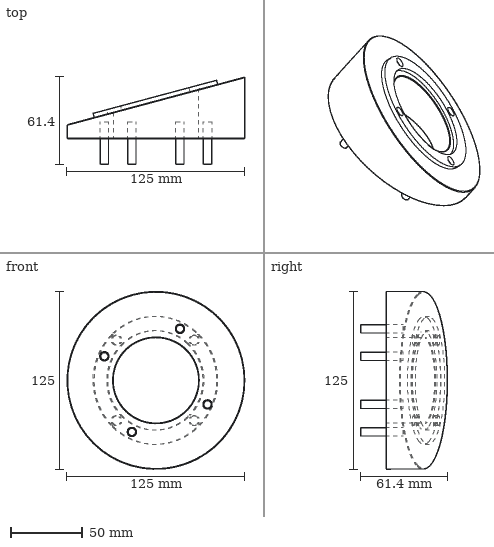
import cadquery as cq
import math

flange_dia = 125.0
bore_dia = 60.0
thin_side = 10.0
tilt_angle = 15.0
edge_chamfer = 0.5

ring_outer_dia = 90.0
ring_inner_dia = 70.0
ring_height = 3.0
ring_hole_dia = 6.9

pitch_radius = 40.0
hole_count = 4
pin_dia = 6.0
pin_stand_out = 18.0
pin_insert = 12.0
pin_chamfer = 0.5
hole_mouth_chamfer = 0.3
first_pin_angle = -25.0
first_ring_hole_angle = 45.0

tilt_slope = math.tan(math.radians(tilt_angle))
centre_height = thin_side + tilt_slope * flange_dia / 2
thick_side = thin_side + tilt_slope * flange_dia

flat_face = cq.Plane(origin=(0, 0, 0), xDir=(1, 0, 0), normal=(0, -1, 0))
seat = cq.Plane(
    origin=(0, centre_height, 0),
    xDir=(0, 0, 1),
    normal=(-math.sin(math.radians(tilt_angle)), math.cos(math.radians(tilt_angle)), 0),
)


def circle_points(start_angle):
    """Equally spaced points on the pitch circle."""
    angles = [math.radians(start_angle + 360 / hole_count * i) for i in range(hole_count)]
    return [(pitch_radius * math.cos(a), pitch_radius * math.sin(a)) for a in angles]


def make_flange():
    """Slanted disc with a bore along Y, broken edges and blind, chamfered pin holes."""
    side_profile = [
        (-flange_dia / 2, 0),
        (flange_dia / 2, 0),
        (flange_dia / 2, thick_side),
        (-flange_dia / 2, thin_side),
    ]
    wedge = cq.Workplane("XY").polyline(side_profile).close().extrude(flange_dia / 2, both=True)
    tube = (
        cq.Workplane(flat_face)
        .circle(flange_dia / 2)
        .circle(bore_dia / 2)
        .extrude(-thick_side)
    )
    flange = wedge.intersect(tube)
    flange = flange.faces("<Y").edges().chamfer(edge_chamfer)
    flange = flange.faces(cq.selectors.DirectionMinMaxSelector(seat.zDir)).edges().chamfer(edge_chamfer)
    pin_holes = (
        cq.Workplane(flat_face)
        .pushPoints(circle_points(first_pin_angle))
        .circle(pin_dia / 2)
        .extrude(-pin_insert)
    )
    flange = flange.cut(pin_holes)
    return flange.faces("<Y").edges(cq.selectors.RadiusNthSelector(0)).chamfer(hole_mouth_chamfer)


def make_ring():
    """Flat ring on the slanted seat with four through holes."""
    return (
        cq.Workplane(seat)
        .circle(ring_outer_dia / 2)
        .circle(ring_inner_dia / 2)
        .pushPoints(circle_points(first_ring_hole_angle))
        .circle(ring_hole_dia / 2)
        .extrude(ring_height)
    )


def make_pin(x, z):
    """Dowel along Y with a chamfered free end."""
    return (
        cq.Workplane(flat_face)
        .workplane(offset=-pin_insert)
        .center(x, z)
        .circle(pin_dia / 2)
        .extrude(pin_insert + pin_stand_out)
        .faces("<Y")
        .chamfer(pin_chamfer)
    )


flange = make_flange()
ring = make_ring()
pins = [make_pin(x, z).val() for x, z in circle_points(first_pin_angle)]

result = cq.Compound.makeCompound([flange.val(), ring.val(), *pins])